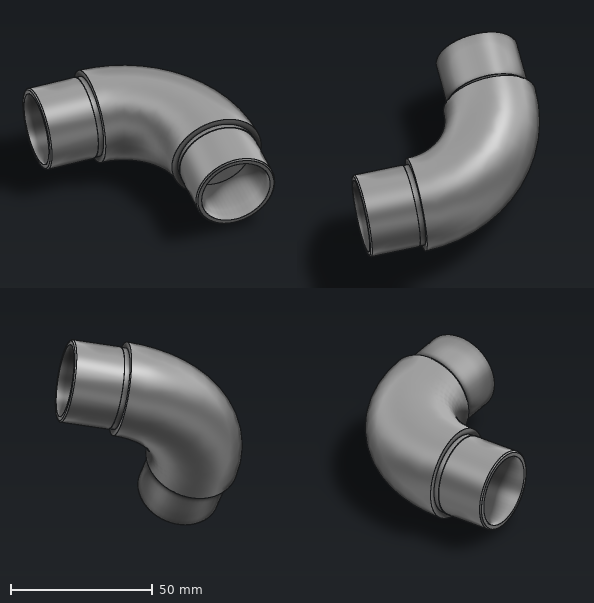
import cadquery as cq

overall_length = 72.0
elbow_diameter = 33.7
spigot_length = 20.0
spigot_diameter = 29.7
groove_diameter = 29.2
groove_width = 2.0
spigot_bore_diameter = 25.8
bend_bore_diameter = 27.7
rim_chamfer = 0.5

bend_angle = 90.0
bend_radius = overall_length - spigot_length - elbow_diameter / 2


def bend(diameter):
    """Quarter torus from the -X axis to the +Y axis."""
    return (
        cq.Workplane("XZ")
        .center(-bend_radius, 0)
        .circle(diameter / 2)
        .revolve(bend_angle, (bend_radius, 0), (bend_radius, -1))
    )


def end_plane(origin, outward):
    return cq.Workplane(cq.Plane(origin=origin, xDir=(0, 0, 1), normal=outward))


def spigot(plane):
    """Straight end with a relief groove at the bend and a chamfered outer rim."""
    groove = plane.circle(groove_diameter / 2).extrude(groove_width)
    sleeve = (
        plane.workplane(offset=groove_width)
        .circle(spigot_diameter / 2)
        .extrude(spigot_length - groove_width)
    )
    rim = cq.selectors.DirectionMinMaxSelector(plane.plane.zDir)
    sleeve = sleeve.faces(rim).edges().chamfer(rim_chamfer)
    return groove.union(sleeve)


def straight_bore(plane):
    return plane.circle(spigot_bore_diameter / 2).extrude(spigot_length)


ends = [
    end_plane((-bend_radius, 0, 0), (0, -1, 0)),
    end_plane((0, bend_radius, 0), (1, 0, 0)),
]

result = bend(elbow_diameter)
for end in ends:
    result = result.union(spigot(end))

result = result.cut(bend(bend_bore_diameter))
for end in ends:
    result = result.cut(straight_bore(end))